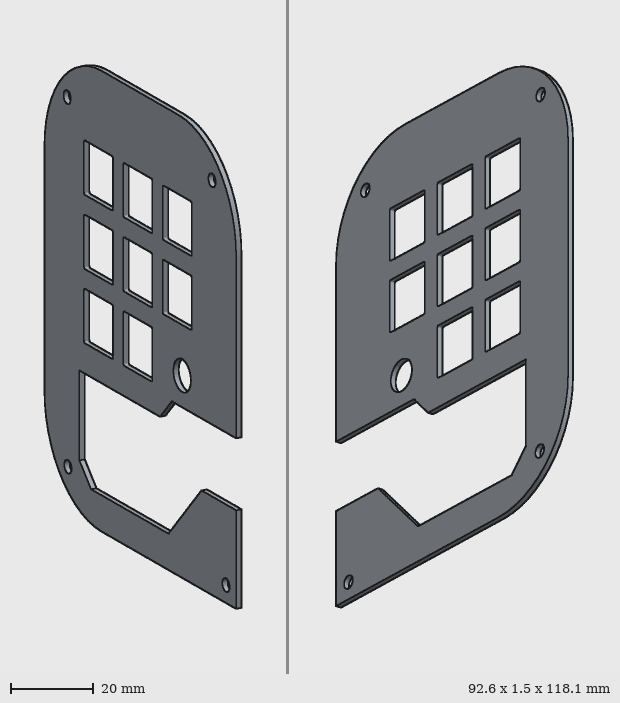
import cadquery as cq

WIDTH = 92.6
HEIGHT = 118.1
THICKNESS = 1.5
CORNER_RADIUS = 27.6

KEY_SIZE = 13.9
KEY_PITCH = 19.0
KEY_CORNER_RADIUS = 0.5
GRID_CENTER_X = 45.1
GRID_CENTER_Z = 71.8
EMPTY_POSITION = (1, -1)

SCREW_DIAMETER = 3.4
SCREW_CENTERS = [(11.0, 106.3), (80.9, 106.3), (11.3, 11.7), (87.7, 4.6)]
LARGE_HOLE_DIAMETER = 8.4
LARGE_HOLE_CENTER = (66.5, 51.9)

CUTOUT_LEFT = 16.9
CUTOUT_FLOOR = 9.3
CUTOUT_CEILING = 38.0
CORNER_CUT = 5.7
CEILING_STEP_X = 55.9
CEILING_STEP_RISE = 5.7
RAMP_START_X = 59.9
RAMP_RISE = 16.0


def sketch_plane():
    """XZ plane (normal toward -Y), drawn with X right and Z up."""
    return cq.Workplane("XZ")


def through(sketch):
    """Extrude a sketch through the plate thickness toward +Y."""
    return sketch.extrude(-THICKNESS)


def make_plate():
    plate = through(sketch_plane().rect(WIDTH, HEIGHT, centered=False))
    upper_corners = plate.edges("|Y").edges(">Z")
    lower_left_corner = plate.edges("|Y").edges("<Z").edges("<X")
    return plate.newObject(upper_corners.vals() + lower_left_corner.vals()).fillet(CORNER_RADIUS)


def make_key_windows():
    steps = (-1, 0, 1)
    positions = [(column, row) for column in steps for row in steps]
    centers = [
        (GRID_CENTER_X + column * KEY_PITCH, GRID_CENTER_Z + row * KEY_PITCH)
        for column, row in positions
        if (column, row) != EMPTY_POSITION
    ]
    windows = through(sketch_plane().pushPoints(centers).rect(KEY_SIZE, KEY_SIZE))
    return windows.edges("|Y").fillet(KEY_CORNER_RADIUS)


def make_holes(centers, diameter):
    return through(sketch_plane().pushPoints(centers).circle(diameter / 2))


def make_side_cutout():
    outline = [
        (CUTOUT_LEFT, CUTOUT_CEILING),
        (CEILING_STEP_X, CUTOUT_CEILING),
        (CEILING_STEP_X + CEILING_STEP_RISE, CUTOUT_CEILING + CEILING_STEP_RISE),
        (WIDTH, CUTOUT_CEILING + CEILING_STEP_RISE),
        (WIDTH, CUTOUT_FLOOR + RAMP_RISE),
        (RAMP_START_X + RAMP_RISE, CUTOUT_FLOOR + RAMP_RISE),
        (RAMP_START_X, CUTOUT_FLOOR),
        (CUTOUT_LEFT + CORNER_CUT, CUTOUT_FLOOR),
        (CUTOUT_LEFT, CUTOUT_FLOOR + CORNER_CUT),
    ]
    return through(sketch_plane().polyline(outline).close())


result = (
    make_plate()
    .cut(make_key_windows())
    .cut(make_holes(SCREW_CENTERS, SCREW_DIAMETER))
    .cut(make_holes([LARGE_HOLE_CENTER], LARGE_HOLE_DIAMETER))
    .cut(make_side_cutout())
)